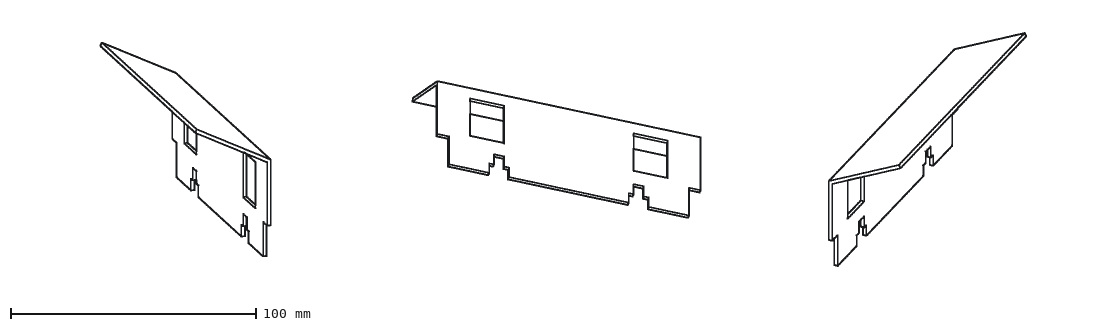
import cadquery as cq
import math

length = 113.0
depth = 32.9
height = 60.3
thickness = 1.6
lip_angle = math.radians(27.9)

shoulder_inset = 5.0
shoulder_height = 14.9

notch_offset = 30.0
notch_mouth_width = 8.5
notch_mouth_height = 5.1
notch_neck_width = 4.4
notch_top = 10.5

window_width = 14.7
window_bottom = 17.7
window_top = 37.7
window_offset = notch_offset - notch_neck_width / 2 + window_width / 2


def folded_sheet():
    """Upright wall with a lip sloping up towards -Y, with sharp corners at the fold."""
    back = depth / 2
    tip_y = -depth / 2
    end_run = thickness * math.sin(lip_angle)
    end_drop = thickness * math.cos(lip_angle)
    slope = math.tan(lip_angle)
    top_y = tip_y + end_run
    inner_y = back - thickness
    outer_fold_z = height - (back - top_y) * slope
    inner_fold_z = height - end_drop - (inner_y - tip_y) * slope
    profile = [
        (back, 0),
        (back, outer_fold_z),
        (top_y, height),
        (tip_y, height - end_drop),
        (inner_y, inner_fold_z),
        (inner_y, 0),
    ]
    return cq.Workplane("YZ").polyline(profile).close().extrude(length / 2, both=True)


def wall_cutter(center_x, width, bottom, top):
    """Block that cuts a rectangle through the full depth of the wall."""
    return (
        cq.Workplane("XY")
        .box(width, depth, top - bottom, centered=(True, True, False))
        .translate((center_x, 0, bottom))
    )


result = folded_sheet()
for side in (-1, 1):
    shoulder_x = side * (length - shoulder_inset) / 2
    notch_x = side * notch_offset
    window_x = side * window_offset
    result = result.cut(wall_cutter(shoulder_x, shoulder_inset, 0, shoulder_height))
    result = result.cut(wall_cutter(notch_x, notch_mouth_width, 0, notch_mouth_height))
    result = result.cut(wall_cutter(notch_x, notch_neck_width, 0, notch_top))
    result = result.cut(wall_cutter(window_x, window_width, window_bottom, window_top))